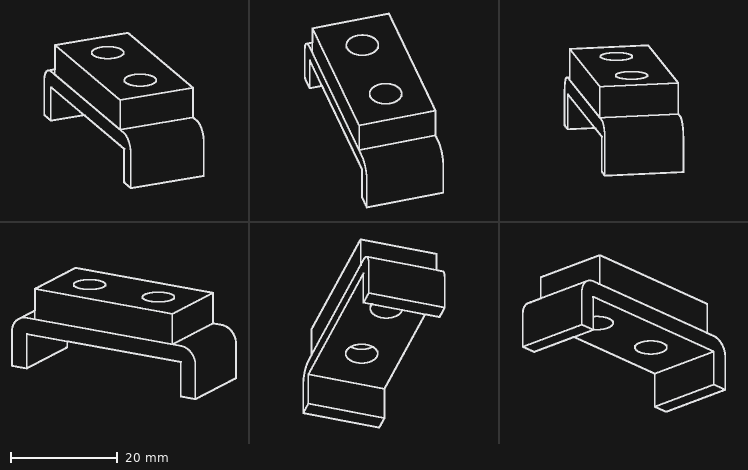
import cadquery as cq

length = 40.0
width = 15.0
bracket_height = 10.0
wall = 3.2
corner_radius = wall

block_length = 30.0
block_height = 6.0

hole_diameter = 6.0
hole_spacing = block_length / 2


def drill_holes(body):
    """Cut the pair of vertical holes through the full height of a body."""
    holes = (
        cq.Workplane("XY")
        .rarray(hole_spacing, 0.4, 2, 1)
        .circle(hole_diameter / 2)
        .extrude(bracket_height + block_height)
    )
    return body.cut(holes).solids()


def make_bracket():
    """Channel open downward, with rounded outer top corners."""
    outer = (
        cq.Workplane("XY")
        .box(length, width, bracket_height, centered=(True, True, False))
        .edges("|Y and >Z")
        .fillet(corner_radius)
    )
    channel = cq.Workplane("XY").box(
        length - 2 * wall, width, bracket_height - wall, centered=(True, True, False)
    )
    return drill_holes(outer.cut(channel))


def make_block():
    """Rectangular block seated on the top face of the bracket."""
    block = cq.Workplane("XY", origin=(0, 0, bracket_height)).box(
        block_length, width, block_height, centered=(True, True, False)
    )
    return drill_holes(block)


bracket = make_bracket()
block = make_block()

result = cq.Compound.makeCompound([bracket.val(), block.val()])